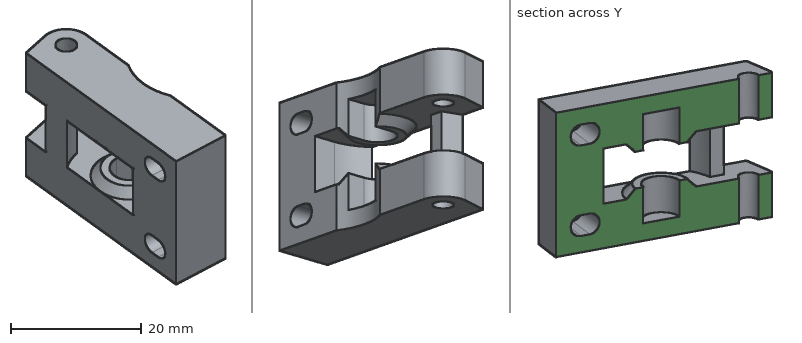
import cadquery as cq
import math

length = 37.0
depth = 10.0
height = 24.0

knuckle_radius = 4.0
pin_x = knuckle_radius
axis_y = depth - knuckle_radius
pin_diameter = 3.33
slope_angle = math.radians(15)

gap_height = 9.05
bridge_start_x = 6.1
bridge_depth = 3.55

wheel_x = 18.98
pocket_radius = 9.85
boss_base_radius = 6.0
boss_tip_radius = 4.48
boss_height = 1.5
seat_radius = 3.07
seat_depth = 6.0

hollow_half_width = 4.95
hollow_depth = 1.22

slot_length = 4.85
slot_width = 3.35
slot_x = 32.0
slot_spacing = 15.02


def knuckle_point(angle):
    """Point on the knuckle at an angle measured from the -X direction towards -Y."""
    return (
        pin_x - knuckle_radius * math.cos(angle),
        axis_y - knuckle_radius * math.sin(angle),
    )


def plan_prism(outline, prism_height):
    """Extrude a closed XY outline evenly about the mid plane."""
    return outline.extrude(prism_height).translate((0, 0, -prism_height / 2))


def make_body():
    tangent_x, tangent_y = knuckle_point(slope_angle)
    corner_x = tangent_x + tangent_y * math.tan(slope_angle)
    outline = (
        cq.Workplane("XY")
        .moveTo(corner_x, 0)
        .lineTo(length, 0)
        .lineTo(length, depth)
        .lineTo(wheel_x + hollow_half_width, depth)
        .threePointArc((wheel_x, depth - hollow_depth), (wheel_x - hollow_half_width, depth))
        .lineTo(pin_x, depth)
        .threePointArc(knuckle_point(-math.pi / 4), (tangent_x, tangent_y))
        .close()
    )
    return plan_prism(outline, height)


def make_opening():
    """Hinge gap, wheel pocket and the passage joining them behind the bridge."""
    bridge_back_x = bridge_start_x + bridge_depth * math.tan(slope_angle)
    gap_outline = (
        cq.Workplane("XY")
        .lineTo(bridge_start_x, 0)
        .lineTo(bridge_back_x, bridge_depth)
        .lineTo(wheel_x, bridge_depth)
        .lineTo(wheel_x, axis_y)
        .lineTo(wheel_x + pocket_radius, axis_y)
        .lineTo(wheel_x + pocket_radius, depth)
        .lineTo(0, depth)
        .close()
    )
    pocket_outline = cq.Workplane("XY").center(wheel_x, axis_y).circle(pocket_radius)
    return plan_prism(gap_outline, gap_height).union(plan_prism(pocket_outline, gap_height))


def make_boss():
    """Cone on the lower pocket wall, narrowing towards the mid plane."""
    base_z = -gap_height / 2
    return cq.Workplane(
        cq.Solid.makeCone(
            boss_base_radius, boss_tip_radius, boss_height, cq.Vector(wheel_x, axis_y, base_z)
        )
    )


def make_axle_seat():
    """Round-bottomed seat sunk from the boss tip and open to the back face."""
    tip_z = -gap_height / 2 + boss_height
    return (
        cq.Workplane("XY", origin=(wheel_x, axis_y, tip_z))
        .moveTo(-seat_radius, depth - axis_y)
        .lineTo(-seat_radius, 0)
        .threePointArc((0, -seat_radius), (seat_radius, 0))
        .lineTo(seat_radius, depth - axis_y)
        .close()
        .extrude(-seat_depth)
    )


def make_slots():
    return (
        cq.Workplane("XZ")
        .pushPoints([(slot_x, -slot_spacing / 2), (slot_x, slot_spacing / 2)])
        .slot2D(slot_length, slot_width)
        .extrude(-depth)
    )


body = make_body()
pin_hole = plan_prism(cq.Workplane("XY").center(pin_x, axis_y).circle(pin_diameter / 2), height)

bosses = make_boss().union(make_boss().mirror("XY")).intersect(body)
seats = make_axle_seat().union(make_axle_seat().mirror("XY"))

result = body.cut(make_opening()).union(bosses).cut(seats).cut(pin_hole).cut(make_slots())